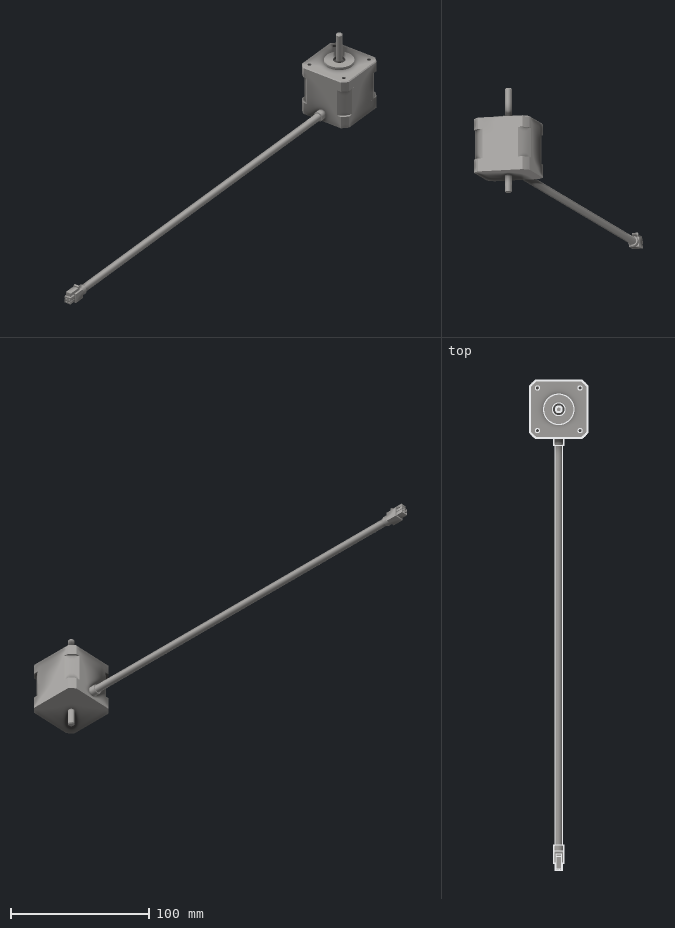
import cadquery as cq

MOTOR_WIDTH = 42.2
MOTOR_HEIGHT = 39.8
COVER_CORNER_DIAMETER = 54.0
STATOR_CORNER_DIAMETER = 50.0
REAR_COVER_HEIGHT = 9.5
FRONT_COVER_HEIGHT = 8.5
FRONT_COVER_CHAMFER = 0.7
STATOR_HEIGHT = MOTOR_HEIGHT - REAR_COVER_HEIGHT - FRONT_COVER_HEIGHT
FRONT_COVER_BASE = REAR_COVER_HEIGHT + STATOR_HEIGHT

PILOT_DIAMETER = 22.0
PILOT_HEIGHT = 2.0
PILOT_RECESS_DIAMETER = 9.2
MOUNT_HOLE_SPACING = 31.0
MOUNT_HOLE_DIAMETER = 3.0
MOUNT_HOLE_DEPTH = 4.5

SHAFT_DIAMETER = 5.0
SHAFT_FRONT_LENGTH = 24.0
SHAFT_REAR_LENGTH = 12.8
SHAFT_CHAMFER = 0.7

CABLE_AXIS_Z = 6.0
CABLE_DIAMETER = 5.7
SLEEVE_DIAMETER = 7.5
GROMMET_LENGTH = 5.0
CABLE_LENGTH = 289.3
BOOT_LENGTH = 4.3
GROMMET_START = -MOTOR_WIDTH / 2
CABLE_START = GROMMET_START - GROMMET_LENGTH
BOOT_START = CABLE_START - CABLE_LENGTH
PLUG_START = BOOT_START - BOOT_LENGTH

TOTAL_LENGTH = 355
PLUG_END = MOTOR_WIDTH / 2 - TOTAL_LENGTH
PLUG_WIDTH = 7.5
NOSE_WIDTH = 5.5
NOSE_LENGTH = 5.5
NOSE_GROOVE_HEIGHT = 1.0
NOSE_GROOVE_DEPTH = 0.5
SOCKET_WIDTH = 1.5
SOCKET_SPACING = 2.5
SOCKET_DEPTH = 4.3
NOSE_START = PLUG_END + NOSE_LENGTH

LATCH_WIDTH = 4.3
LATCH_HEIGHT = 2.0
LATCH_SETBACK = 2.0
LATCH_TIP_GAP = 1.0
THUMB_PAD_LENGTH = 1.8
THUMB_PAD_HEIGHT = 1.0
HOOK_LENGTH = 1.0
HOOK_DROP = 0.7


def motor_section(base, height, corner_diameter):
    """Square block whose corners are turned to a cylinder about the shaft axis, bored for the shaft."""
    square = cq.Workplane("XY").box(MOTOR_WIDTH, MOTOR_WIDTH, height, centered=(True, True, False))
    turned = cq.Workplane("XY").circle(corner_diameter / 2).extrude(height)
    bore = cq.Workplane("XY").circle(SHAFT_DIAMETER / 2).extrude(height)
    return square.intersect(turned).cut(bore).translate((0, 0, base))


def make_front_cover():
    cover = motor_section(FRONT_COVER_BASE, FRONT_COVER_HEIGHT, COVER_CORNER_DIAMETER)
    cover = cover.faces(">Z").wires(cq.selectors.AreaNthSelector(-1)).chamfer(FRONT_COVER_CHAMFER)
    pilot = (
        cq.Workplane("XY", origin=(0, 0, MOTOR_HEIGHT))
        .circle(PILOT_DIAMETER / 2)
        .circle(PILOT_RECESS_DIAMETER / 2)
        .extrude(PILOT_HEIGHT)
    )
    mount_holes = (
        cq.Workplane("XY", origin=(0, 0, MOTOR_HEIGHT))
        .rect(MOUNT_HOLE_SPACING, MOUNT_HOLE_SPACING, forConstruction=True)
        .vertices()
        .circle(MOUNT_HOLE_DIAMETER / 2)
        .extrude(-MOUNT_HOLE_DEPTH)
    )
    return cover.union(pilot).cut(mount_holes)


def make_shaft():
    length = SHAFT_REAR_LENGTH + MOTOR_HEIGHT + SHAFT_FRONT_LENGTH
    shaft = cq.Workplane("XY", origin=(0, 0, -SHAFT_REAR_LENGTH)).circle(SHAFT_DIAMETER / 2).extrude(length)
    return shaft.faces("<Z or >Z").chamfer(SHAFT_CHAMFER)


def cable_cylinder(start, length, diameter):
    """Cylinder on the cable axis that runs from Y = start toward -Y."""
    return cq.Workplane("XZ", origin=(0, start, CABLE_AXIS_Z)).circle(diameter / 2).extrude(length)


def cable_block(start, end, width, bottom, top):
    """Box centred on X = 0 between two Y stations, with heights measured from the cable axis."""
    return (
        cq.Workplane("XY")
        .box(width, start - end, top - bottom, centered=(True, False, False))
        .translate((0, end, CABLE_AXIS_Z + bottom))
    )


def make_latch():
    arm_bottom = PLUG_WIDTH / 2
    arm_top = arm_bottom + LATCH_HEIGHT
    arm_start = PLUG_START - LATCH_SETBACK
    arm_end = PLUG_END + LATCH_TIP_GAP
    arm = cable_block(arm_start, arm_end, LATCH_WIDTH, arm_bottom, arm_top)
    thumb_pad = cable_block(
        arm_start, arm_start - THUMB_PAD_LENGTH, LATCH_WIDTH, arm_top, arm_top + THUMB_PAD_HEIGHT
    )
    hook = cable_block(arm_end + HOOK_LENGTH, arm_end, LATCH_WIDTH, arm_bottom - HOOK_DROP, arm_bottom)
    return arm.union(thumb_pad).union(hook)


def make_nose():
    nose = cable_block(NOSE_START, PLUG_END, NOSE_WIDTH, -NOSE_WIDTH / 2, NOSE_WIDTH / 2)
    groove = cable_block(
        NOSE_START, PLUG_END, 2 * NOSE_GROOVE_DEPTH, -NOSE_GROOVE_HEIGHT / 2, NOSE_GROOVE_HEIGHT / 2
    )
    for side in (-1, 1):
        nose = nose.cut(groove.translate((side * NOSE_WIDTH / 2, 0, 0)))
    sockets = (
        cq.Workplane("XZ", origin=(0, PLUG_END, CABLE_AXIS_Z))
        .rect(SOCKET_SPACING, SOCKET_SPACING, forConstruction=True)
        .vertices()
        .rect(SOCKET_WIDTH, SOCKET_WIDTH)
        .extrude(-SOCKET_DEPTH)
    )
    return nose.cut(sockets)


def make_plug():
    housing = cable_block(PLUG_START, NOSE_START, PLUG_WIDTH, -PLUG_WIDTH / 2, PLUG_WIDTH / 2)
    return housing.union(make_nose()).union(make_latch())


rear_cover = motor_section(0, REAR_COVER_HEIGHT, COVER_CORNER_DIAMETER)
stator = motor_section(REAR_COVER_HEIGHT, STATOR_HEIGHT, STATOR_CORNER_DIAMETER)
front_cover = make_front_cover()
shaft = make_shaft()
grommet = cable_cylinder(GROMMET_START, GROMMET_LENGTH, SLEEVE_DIAMETER)
cable = cable_cylinder(CABLE_START, CABLE_LENGTH, CABLE_DIAMETER)
boot = cable_cylinder(BOOT_START, BOOT_LENGTH, SLEEVE_DIAMETER)
plug = make_plug()

result = cq.Compound.makeCompound([
    rear_cover.val(),
    stator.val(),
    front_cover.val(),
    shaft.val(),
    grommet.val(),
    cable.val(),
    boot.val(),
    plug.val(),
])